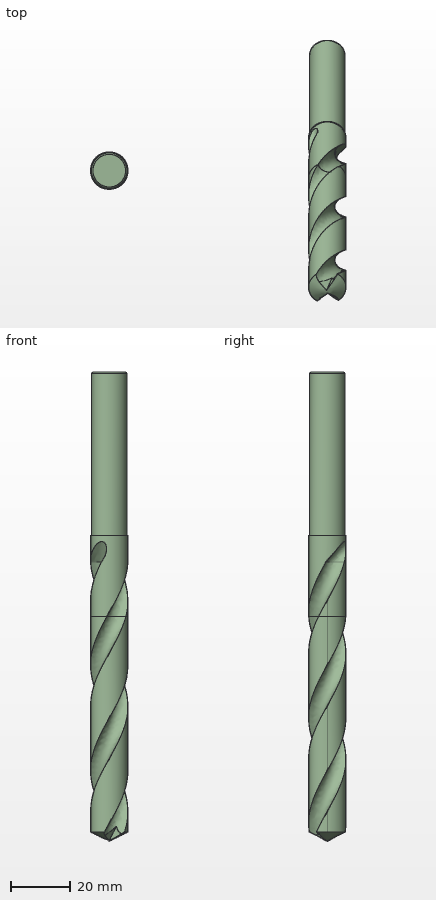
import cadquery as cq
import math

total_length = 158.0
shank_diameter = 12.0
shank_chamfer = 0.5
drill_diameter = 12.6
collar_z = 103.0
joint_z = 75.7
point_angle = 127.0

flute_count = 2
flute_lead = 71.05
flute_radius = 3.75
flute_offset = 6.3
flute_top_z = 94.1
flute_top_angle = 211.0
runout_height = 6.8
runout_turn = 35.0

gash_top = cq.Vector(2.4, -1.75, 5.0)
gash_bottom = cq.Vector(0.0, -0.6, 0.3)
gash_left = cq.Vector(-0.4, -3.1, 2.8)
gash_right = cq.Vector(3.6, -2.5, 3.0)
gash_reach = 2.0

drill_radius = drill_diameter / 2
shank_radius = shank_diameter / 2
point_height = drill_radius / math.tan(math.radians(point_angle / 2))
flute_twist = 360.0 * flute_top_z / flute_lead
flute_start_angle = flute_top_angle - flute_twist


def flute_cutter(turn):
    """Helical groove with a straight round run-out that climbs out of the drill."""
    helix = (
        cq.Workplane("XY")
        .center(flute_offset, 0)
        .circle(flute_radius)
        .center(-flute_offset, 0)
        .twistExtrude(flute_top_z, flute_twist)
        .rotate((0, 0, 0), (0, 0, 1), flute_start_angle + turn)
    )
    exit_offset = drill_radius + flute_radius
    exit_angle = math.radians(runout_turn)
    start = cq.Vector(flute_offset, 0, flute_top_z)
    runout_path = cq.Vector(
        exit_offset * math.cos(exit_angle) - flute_offset,
        exit_offset * math.sin(exit_angle),
        runout_height,
    )
    profile = cq.Wire.makeCircle(flute_radius, start, cq.Vector(0, 0, 1))
    runout = cq.Workplane(cq.Solid.extrudeLinear(profile, [], runout_path))
    runout = runout.rotate((0, 0, 0), (0, 0, 1), flute_top_angle + turn)
    return helix, runout


def cut_flutes(body):
    """Remove every flute, with its run-out, from a body."""
    for index in range(flute_count):
        for cutter in flute_cutter(index * 360.0 / flute_count):
            body = body.cut(cutter)
    return body


def gash_cutter(turn):
    """Triangular prism whose sharp edge runs from the flute floor to the drill point."""
    left = gash_top + (gash_left - gash_top) * gash_reach
    right = gash_top + (gash_right - gash_top) * gash_reach
    section = cq.Wire.makePolygon([gash_top, left, right], close=True)
    prism = cq.Solid.extrudeLinear(section, [], (gash_bottom - gash_top) * gash_reach)
    return cq.Workplane(prism).rotate((0, 0, 0), (0, 0, 1), turn)


def make_head():
    """Cutting head: conical point and fluted cylinder up to the joint."""
    blank = (
        cq.Workplane("XZ")
        .moveTo(0, 0)
        .lineTo(drill_radius, point_height)
        .lineTo(drill_radius, joint_z)
        .lineTo(0, joint_z)
        .close()
        .revolve(360, (0, 0, 0), (0, 1, 0))
    )
    head = cut_flutes(blank)
    for index in range(flute_count):
        head = head.cut(gash_cutter(index * 360.0 / flute_count))
    return head


def make_holder():
    """Holder: fluted collar at drill diameter and a plain chamfered shank."""
    blank = (
        cq.Workplane("XY", origin=(0, 0, joint_z))
        .circle(drill_radius)
        .extrude(collar_z - joint_z)
        .faces(">Z")
        .workplane()
        .circle(shank_radius)
        .extrude(total_length - collar_z)
        .faces(">Z")
        .chamfer(shank_chamfer)
    )
    return cut_flutes(blank)


head = make_head()
holder = make_holder()

result = cq.Compound.makeCompound([head.val(), holder.val()])